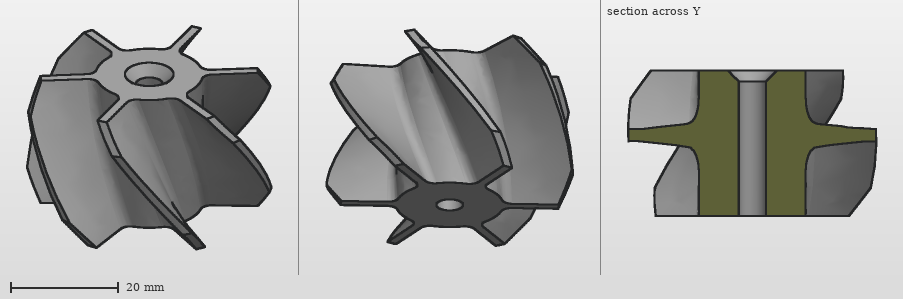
import cadquery as cq
import math

outer_radius = 23.0
height = 27.0
bevel_height = 5.25
end_radius = 20.15

hub_radius = 9.95
blade_count = 6
blade_thickness = 1.9
root_fillet = 2.02
bottom_blade_angle = 30.0
twist_angle = -54.0
trim_allowance = 0.9

bore_radius = 2.5
sink_radius = 4.5
sink_depth = 2.02


def rotated(point, angle):
    """Turn an XY point about the origin by an angle in degrees."""
    x, y = point
    c = math.cos(math.radians(angle))
    s = math.sin(math.radians(angle))
    return (x * c - y * s, x * s + y * c)


def polar(radius, angle):
    return rotated((radius, 0), angle)


def rotor_section():
    """Hub circle with radial blades, blended by fillets at the blade roots."""
    half_thickness = blade_thickness / 2
    pitch = 360 / blade_count
    tip = outer_radius + trim_allowance

    center_y = half_thickness + root_fillet
    center_x = math.sqrt((hub_radius + root_fillet) ** 2 - center_y ** 2)
    hub_angle = math.degrees(math.atan2(center_y, center_x))
    hub_tangent = polar(hub_radius, hub_angle)
    blade_tangent = (center_x, half_thickness)
    mid_direction = math.radians((hub_angle + 180 + 270) / 2)
    fillet_mid = (
        center_x + root_fillet * math.cos(mid_direction),
        center_y + root_fillet * math.sin(mid_direction),
    )

    def mirrored(point):
        return (point[0], -point[1])

    section = cq.Workplane("XY").moveTo(*rotated(mirrored(hub_tangent), bottom_blade_angle))
    for index in range(blade_count):
        angle = bottom_blade_angle + index * pitch
        section = (
            section
            .threePointArc(rotated(mirrored(fillet_mid), angle), rotated(mirrored(blade_tangent), angle))
            .lineTo(*rotated((tip, -half_thickness), angle))
            .lineTo(*rotated((tip, half_thickness), angle))
            .lineTo(*rotated(blade_tangent, angle))
            .threePointArc(rotated(fillet_mid, angle), rotated(hub_tangent, angle))
            .threePointArc(
                polar(hub_radius, angle + pitch / 2),
                rotated(mirrored(hub_tangent), angle + pitch),
            )
        )
    return section.close()


def envelope():
    """Solid of revolution that trims the blade tips."""
    return (
        cq.Workplane("XZ")
        .polyline([
            (0, 0),
            (end_radius, 0),
            (outer_radius, bevel_height),
            (outer_radius, height - bevel_height),
            (end_radius, height),
            (0, height),
        ])
        .close()
        .revolve(360, (0, 0, 0), (0, 1, 0))
    )


def countersunk_bore():
    """Through bore with a conical countersink at the top."""
    return (
        cq.Workplane("XZ")
        .polyline([
            (0, 0),
            (bore_radius, 0),
            (bore_radius, height - sink_depth),
            (sink_radius, height),
            (0, height),
        ])
        .close()
        .revolve(360, (0, 0, 0), (0, 1, 0))
    )


rotor = rotor_section().twistExtrude(height, twist_angle)
result = rotor.intersect(envelope()).cut(countersunk_bore())